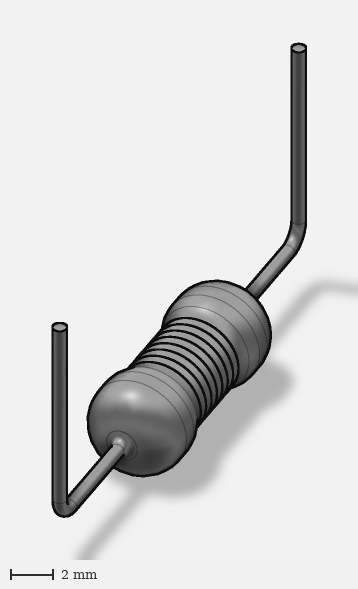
import cadquery as cq
import math


cap_radius = 5.0 / 2
waist_radius = 4.25 / 2
band_radius = 4.27 / 2
body_half_length = 6.0
cap_round_radius = 1.78
cap_crest_end = 3.44
waist_half_length = 1.97

shoulder_length = cap_crest_end - waist_half_length
shoulder_drop = cap_radius - waist_radius
shoulder_slope = 2 * math.atan2(shoulder_drop, shoulder_length)
shoulder_arc_radius = shoulder_length / (2 * math.sin(shoulder_slope))

band_count = 4
band_width = 0.56
band_pitch = (2 * waist_half_length - band_width) / (band_count - 1)

lead_radius = 0.7 / 2
lead_half_span = 12.5
lead_top = 11.1
bend_radius = 1.1
neck_radius = 0.45
neck_end = body_half_length + neck_radius


def arc_point(center, radius, angle):
    """Point at an angle on an arc in the (radius, Y) profile plane."""
    return (center[0] + radius * math.cos(angle), center[1] + radius * math.sin(angle))


def make_cap():
    """Body end on the +Y side, from the waist out to the lead, revolved about Y."""
    neck_center = (lead_radius + neck_radius, neck_end)
    cap_center = (cap_radius - cap_round_radius, body_half_length - cap_round_radius)
    face_radius = max(neck_center[0], cap_center[0])
    face_angle = math.acos((face_radius - cap_center[0]) / cap_round_radius)
    face_point = arc_point(cap_center, cap_round_radius, face_angle)

    crest_center = (cap_radius - shoulder_arc_radius, cap_crest_end)
    waist_center = (waist_radius + shoulder_arc_radius, waist_half_length)
    half_slope = shoulder_slope / 2

    return (
        cq.Workplane("XY")
        .moveTo(0, waist_half_length)
        .lineTo(0, neck_end)
        .lineTo(lead_radius, neck_end)
        .threePointArc(arc_point(neck_center, neck_radius, math.radians(225)), face_point)
        .threePointArc(
            arc_point(cap_center, cap_round_radius, face_angle / 2),
            (cap_radius, cap_center[1]),
        )
        .lineTo(cap_radius, cap_crest_end)
        .threePointArc(
            arc_point(crest_center, shoulder_arc_radius, -half_slope),
            arc_point(crest_center, shoulder_arc_radius, -shoulder_slope),
        )
        .threePointArc(
            arc_point(waist_center, shoulder_arc_radius, math.pi - half_slope),
            (waist_radius, waist_half_length),
        )
        .close()
        .revolve(360, (0, 0, 0), (0, 1, 0))
    )


def make_disc(radius, length, center_y):
    """Cylinder along Y, centred at the given Y."""
    start = cq.Workplane("XZ", origin=(0, center_y + length / 2, 0))
    return start.circle(radius).extrude(length)


def make_lead():
    """Lead on the +Y side: straight out of the body, then bent upright."""
    bend_start = lead_half_span - bend_radius
    bend_offset = bend_radius * math.sin(math.pi / 4)
    path = (
        cq.Workplane("YZ")
        .moveTo(neck_end, 0)
        .lineTo(bend_start, 0)
        .threePointArc(
            (bend_start + bend_offset, bend_radius - bend_offset),
            (lead_half_span, bend_radius),
        )
        .lineTo(lead_half_span, lead_top)
    )
    return cq.Workplane("XZ", origin=(0, neck_end, 0)).circle(lead_radius).sweep(path)


result = make_disc(waist_radius, 2 * waist_half_length, 0)
for index in range(band_count):
    band_y = (index - (band_count - 1) / 2) * band_pitch
    result = result.union(make_disc(band_radius, band_width, band_y))

end = make_cap().union(make_lead())
result = result.union(end).union(end.mirror("XZ"))